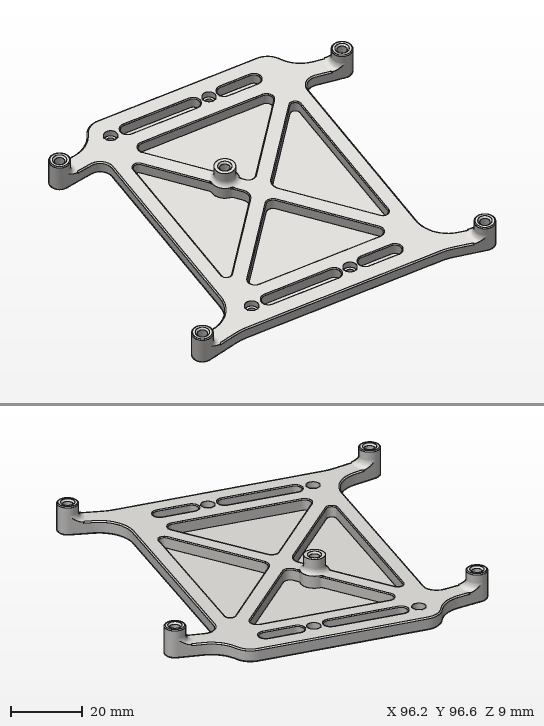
import cadquery as cq
import math

PLATE_LENGTH = 93.5
PLATE_WIDTH = 63.0
PLATE_THICKNESS = 4.0
EDGE_CHAMFER = 0.4
LEFT_CORNER_RADIUS = 6.0
HALF_LENGTH = PLATE_LENGTH / 2
HALF_WIDTH = PLATE_WIDTH / 2

TOTAL_HEIGHT = 9.0
STANDOFF_DIAMETER = 6.1
STANDOFF_RADIUS = STANDOFF_DIAMETER / 2
STANDOFF_HOLE_DIAMETER = 2.9
STANDOFF_RIM_CHAMFER = 0.3
STANDOFF_HOLE_CHAMFER = 0.55
STANDOFF_SPACING_X = 80.0
STANDOFF_SPACING_Y = 90.5
RIGHT_OVERHANG = 2.75
RIGHT_STANDOFF_X = HALF_LENGTH + RIGHT_OVERHANG - STANDOFF_RADIUS
LEFT_STANDOFF_X = RIGHT_STANDOFF_X - STANDOFF_SPACING_X
ARM_STANDOFF_Y = STANDOFF_SPACING_Y / 2
FLARE_RADIUS = 2.0
RIB_STANDOFF = (-8.5, -6.65)
RIB_PAD_DIAMETER = 8.1
RIB_PAD_FILLET = 1.0

LEFT_ARM_LEAN = math.radians(9.5)
RIGHT_ARM_LEAN = math.radians(13.0)
ARM_FILLET = 10.0
LEFT_ARM_INNER_FILLET = 3.8
RIGHT_ARM_OUTER_FILLET = 15.0

FLOOR_THICKNESS = 0.5
CUT_DEPTH = PLATE_THICKNESS - FLOOR_THICKNESS

POCKET_RIM_CHAMFER = 0.3
POCKET_HALF_LENGTH = 32.7
POCKET_HALF_WIDTH = 26.6
RIB_HALF_WIDTH = 2.4
RIB_ANGLE = math.radians(39.25)
SIDE_POCKET_RADIUS = 2.0
END_POCKET_CORNER_RADIUS = 1.5
END_POCKET_TIP_RADIUS = 3.0

SLOT_WIDTH = 4.0
SLOT_COLUMN_X = 39.5
SLOT_Y_RANGES = ((8.9, 22.4), (-22.1, 2.95))
SMALL_HOLE_Y = (6.0, -25.5)
SMALL_HOLE_DIAMETER = 2.4
COUNTERBORE_DIAMETER = 4.0
COUNTERBORE_DEPTH = 2.0


def add(point, direction, distance):
    """Point moved by a distance along a unit direction."""
    return (point[0] + direction[0] * distance, point[1] + direction[1] * distance)


def toward(start, end):
    """Unit direction from one point to another."""
    length = math.dist(start, end)
    return ((end[0] - start[0]) / length, (end[1] - start[1]) / length)


def arc_middle(center, start, end):
    """Middle of the shorter arc between two points around a center."""
    chord_middle = ((start[0] + end[0]) / 2, (start[1] + end[1]) / 2)
    return add(center, toward(center, chord_middle), math.dist(center, start))


def mirrored(point):
    """Point reflected across the X axis."""
    return (point[0], -point[1])


def upper_outline():
    """Points of the upper half of the outline, as ("line", end) and ("arc", middle, end) steps."""
    steps = []

    def arc_around(center, start, end):
        steps.append(("line", start))
        steps.append(("arc", arc_middle(center, start, end), end))

    def arm_directions(lean):
        along = (math.sin(lean), math.cos(lean))
        left = (-along[1], along[0])
        right = (along[1], -along[0])
        return along, left, right

    def arm_tip(standoff, left, right):
        steps.append(("line", add(standoff, left, STANDOFF_RADIUS)))
        steps.append(("line", add(standoff, right, STANDOFF_RADIUS)))

    standoff = (LEFT_STANDOFF_X, ARM_STANDOFF_Y)
    along, left, right = arm_directions(LEFT_ARM_LEAN)
    corner = (-HALF_LENGTH + LEFT_CORNER_RADIUS, HALF_WIDTH - LEFT_CORNER_RADIUS)
    offset = add(standoff, left, STANDOFF_RADIUS + ARM_FILLET)
    to_corner = (corner[0] - offset[0], corner[1] - offset[1])
    lengthwise = to_corner[0] * along[0] + to_corner[1] * along[1]
    sideways = to_corner[0] * left[0] + to_corner[1] * left[1]
    rise = math.sqrt((LEFT_CORNER_RADIUS + ARM_FILLET) ** 2 - sideways**2)
    center = add(offset, along, lengthwise + rise)
    meeting = add(corner, toward(corner, center), LEFT_CORNER_RADIUS)
    arc_around(corner, (-HALF_LENGTH, corner[1]), meeting)
    fillet_end = add(center, right, ARM_FILLET)
    steps.append(("arc", arc_middle(center, meeting, fillet_end), fillet_end))
    arm_tip(standoff, left, right)

    offset = add(standoff, right, STANDOFF_RADIUS + LEFT_ARM_INNER_FILLET)
    center_y = HALF_WIDTH + LEFT_ARM_INNER_FILLET
    center = add(offset, along, (center_y - offset[1]) / along[1])
    arc_around(center, add(center, left, LEFT_ARM_INNER_FILLET), (center[0], HALF_WIDTH))

    standoff = (RIGHT_STANDOFF_X, ARM_STANDOFF_Y)
    along, left, right = arm_directions(RIGHT_ARM_LEAN)
    offset = add(standoff, left, STANDOFF_RADIUS + ARM_FILLET)
    center = add(offset, along, (HALF_WIDTH + ARM_FILLET - offset[1]) / along[1])
    arc_around(center, (center[0], HALF_WIDTH), add(center, right, ARM_FILLET))
    arm_tip(standoff, left, right)

    offset = add(standoff, right, STANDOFF_RADIUS + RIGHT_ARM_OUTER_FILLET)
    center_x = HALF_LENGTH + RIGHT_ARM_OUTER_FILLET
    center = add(offset, along, (center_x - offset[0]) / along[0])
    arc_around(center, add(center, left, RIGHT_ARM_OUTER_FILLET), (HALF_LENGTH, center[1]))
    return steps


def outline():
    """Closed outline of the plate and its four arms, mirrored across the X axis."""
    upper = upper_outline()
    start = upper[0][1]
    sketch = cq.Workplane("XY").moveTo(*start)
    for step in upper[1:]:
        if step[0] == "line":
            sketch = sketch.lineTo(*step[1])
        else:
            sketch = sketch.threePointArc(step[1], step[2])
    sketch = sketch.lineTo(*mirrored(upper[-1][-1]))
    for step, previous in zip(reversed(upper), reversed(upper[:-1])):
        end = mirrored(previous[-1])
        if step[0] == "line":
            sketch = sketch.lineTo(*end)
        else:
            sketch = sketch.threePointArc(mirrored(step[1]), end)
    return sketch.close()


def triangle_cutter(points, tip_radius, corner_radius):
    """Pocket cutter with a rounded tip (the first point), rounded corners and a chamfered rim."""
    base = cq.Workplane("XY", origin=(0, 0, FLOOR_THICKNESS))
    cutter = base.polyline(points).close().extrude(CUT_DEPTH)
    middle_z = FLOOR_THICKNESS + CUT_DEPTH / 2
    for point, radius in zip(points, (tip_radius, corner_radius, corner_radius)):
        upright_edge = cq.NearestToPointSelector((*point, middle_z))
        cutter = cutter.edges(upright_edge).fillet(radius)
    return with_rim_chamfer(cutter)


def with_rim_chamfer(cutter):
    """Cutter widened by a 45 degree flare at the top face of the plate."""
    rim = (
        cutter.faces(">Z")
        .wires()
        .toPending()
        .workplane(origin=(0, 0, PLATE_THICKNESS))
        .offset2D(POCKET_RIM_CHAMFER)
        .extrude(-POCKET_RIM_CHAMFER, taper=45, combine=False)
    )
    return cutter.union(rim)


def cut_pockets(body):
    """Four triangular pockets, leaving two crossing ribs."""
    slope = math.tan(RIB_ANGLE)
    tip_x = RIB_HALF_WIDTH / math.sin(RIB_ANGLE)
    tip_y = RIB_HALF_WIDTH / math.cos(RIB_ANGLE)
    side_reach = (POCKET_HALF_LENGTH - tip_x) * slope
    end_reach = (POCKET_HALF_WIDTH - tip_y) / slope
    for sign in (-1, 1):
        side = [
            (sign * tip_x, 0),
            (sign * POCKET_HALF_LENGTH, side_reach),
            (sign * POCKET_HALF_LENGTH, -side_reach),
        ]
        end = [
            (0, sign * tip_y),
            (end_reach, sign * POCKET_HALF_WIDTH),
            (-end_reach, sign * POCKET_HALF_WIDTH),
        ]
        body = body.cut(triangle_cutter(side, SIDE_POCKET_RADIUS, SIDE_POCKET_RADIUS))
        body = body.cut(triangle_cutter(end, END_POCKET_TIP_RADIUS, END_POCKET_CORNER_RADIUS))
    return body


def cut_side_columns(body):
    """Slots and counterbored holes along the left and right sides."""
    for x in (-SLOT_COLUMN_X, SLOT_COLUMN_X):
        for low, high in SLOT_Y_RANGES:
            slot = (
                cq.Workplane("XY", origin=(x, (low + high) / 2, FLOOR_THICKNESS))
                .slot2D(high - low, SLOT_WIDTH, 90)
                .extrude(CUT_DEPTH)
            )
            body = body.cut(with_rim_chamfer(slot))
        for y in SMALL_HOLE_Y:
            body = (
                body.copyWorkplane(cq.Workplane("XY", origin=(x, y, PLATE_THICKNESS)))
                .cboreHole(SMALL_HOLE_DIAMETER, COUNTERBORE_DIAMETER, COUNTERBORE_DEPTH)
            )
    return body


def standoff_flare(x, y):
    """Disc under a standoff whose top sweeps up into the standoff wall."""
    foot = STANDOFF_RADIUS + FLARE_RADIUS
    base = PLATE_THICKNESS - EDGE_CHAMFER
    diagonal = FLARE_RADIUS * math.sqrt(0.5)
    flare_top = PLATE_THICKNESS + FLARE_RADIUS
    return (
        cq.Workplane("XZ")
        .moveTo(0, base)
        .lineTo(foot, base)
        .lineTo(foot, PLATE_THICKNESS)
        .threePointArc((foot - diagonal, flare_top - diagonal), (STANDOFF_RADIUS, flare_top))
        .lineTo(0, flare_top)
        .close()
        .revolve(360, (0, 0, 0), (0, 1, 0))
        .translate((x, y, 0))
    )


def post(x, y):
    """Plain post over the full height."""
    return cq.Workplane("XY", origin=(x, y, 0)).circle(STANDOFF_RADIUS).extrude(TOTAL_HEIGHT)


def arm_post(x, y):
    """Post at the tip of an arm, with chamfered ends."""
    return post(x, y).faces(">Z").chamfer(STANDOFF_RIM_CHAMFER).faces("<Z").chamfer(EDGE_CHAMFER)


def standoff_hole(x, y):
    """Through hole of a standoff with a countersunk mouth."""
    radius = STANDOFF_HOLE_DIAMETER / 2
    hole = cq.Workplane("XY", origin=(x, y, 0)).circle(radius).extrude(TOTAL_HEIGHT)
    mouth = cq.Solid.makeCone(
        radius,
        radius + STANDOFF_HOLE_CHAMFER,
        STANDOFF_HOLE_CHAMFER,
        pnt=cq.Vector(x, y, TOTAL_HEIGHT - STANDOFF_HOLE_CHAMFER),
    )
    return hole.union(cq.Workplane(mouth))


def rib_pad(rib_half_width):
    """Round column around the middle standoff, blended into a stretch of the rib of the given half width."""
    stretch = 2 * (STANDOFF_RADIUS + FLARE_RADIUS)
    rib = (
        cq.Workplane("XY")
        .center(-math.hypot(*RIB_STANDOFF), 0)
        .rect(stretch, 2 * rib_half_width)
        .extrude(TOTAL_HEIGHT)
        .rotate((0, 0, 0), (0, 0, 1), math.degrees(RIB_ANGLE))
    )
    column = cq.Workplane("XY").center(*RIB_STANDOFF).circle(RIB_PAD_DIAMETER / 2).extrude(TOTAL_HEIGHT)
    reach = RIB_PAD_DIAMETER / 2 + RIB_PAD_FILLET / 2
    inner_corners = cq.selectors.BoxSelector(
        (RIB_STANDOFF[0] - reach, RIB_STANDOFF[1] - reach, 0),
        (RIB_STANDOFF[0] + reach, RIB_STANDOFF[1] + reach, TOTAL_HEIGHT),
    )
    return rib.union(column).edges("|Z").edges(inner_corners).fillet(RIB_PAD_FILLET)


def make_part():
    body = outline().extrude(PLATE_THICKNESS).faces("<Z or >Z").chamfer(EDGE_CHAMFER)
    body = cut_side_columns(cut_pockets(body))

    footprint = outline().extrude(TOTAL_HEIGHT)
    arm_places = [
        (x, y) for x in (LEFT_STANDOFF_X, RIGHT_STANDOFF_X) for y in (-ARM_STANDOFF_Y, ARM_STANDOFF_Y)
    ]
    for x, y in arm_places:
        body = body.union(standoff_flare(x, y).intersect(footprint)).union(arm_post(x, y))

    rim_start = cq.Workplane("XY").box(
        PLATE_LENGTH, PLATE_WIDTH, PLATE_THICKNESS - POCKET_RIM_CHAMFER, centered=(True, True, False)
    )
    body = body.union(rib_pad(RIB_HALF_WIDTH).intersect(rim_start))
    flare_limits = rib_pad(RIB_HALF_WIDTH - POCKET_RIM_CHAMFER)
    body = body.union(standoff_flare(*RIB_STANDOFF).intersect(flare_limits)).union(post(*RIB_STANDOFF))

    for x, y in arm_places + [RIB_STANDOFF]:
        body = body.cut(standoff_hole(x, y))
    return body


result = make_part()